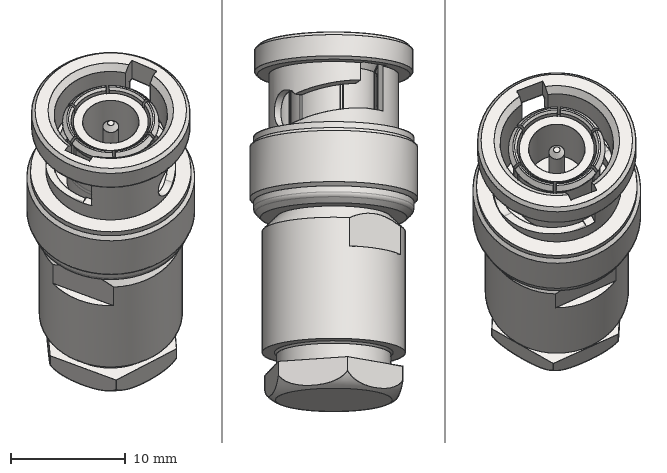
import cadquery as cq
import math

TOTAL_HEIGHT = 31.35
NUT_TOP = 2.57
BODY_BOTTOM = 4.2
FLAT_BOTTOM = 12.45
CONE_BOTTOM = 14.95
GRIP_BOTTOM = 16.2
BORE_FLOOR = 22.1
GRIP_TOP = 23.3
CONTACT_BASE_TOP = 24.1
HEAD_BOTTOM = 28.9

NUT_ACROSS_FLATS = 11.05
NUT_CORNER_RADIUS = 6.35
NUT_BOTTOM_RADIUS = 5.08
NUT_ROUND_HEIGHT = 1.32
NUT_ROUND_MIDDLE = (5.83, 0.5)
NUT_NECK_RADIUS = 5.0
NECK_FLARE = 0.2

BODY_RADIUS = 6.25
WRENCH_FLAT_SPACING = 11.0

GRIP_RADIUS = 7.3
GRIP_LAND_RADIUS = 7.0
GRIP_CHAMFER = GRIP_RADIUS - GRIP_LAND_RADIUS
GRIP_TOP_LAND = 0.53
GRIP_BODY_BOTTOM = 17.9
GRIP_EDGE_TOP = 17.05
GRIP_EDGE_ROUND = 0.55
GRIP_EDGE_ANGLE = math.radians(45)

NECK_RADIUS = 5.65
HEAD_RADIUS = 6.9
HEAD_TOP_CHAMFER = 0.3
HEAD_BOTTOM_CHAMFER = 0.25
BORE_RADIUS = 4.92
BORE_CHAMFER = 0.53

KEYWAY_WIDTH = 2.45
KEYWAY_REACH = 5.9
KEYWAY_TURN = -3.8
KEYWAY_BOTTOM = 24.92
DETENT_RADIUS = 1.65
DETENT_Z = 25.1
RAMP_ANGLE = 15.0
RAMP_HEIGHT = 2.48

CONTACT_BASE_RADIUS = 3.82
FINGER_BOTTOM = 24.4
FINGER_OUTER = 3.75
FINGER_INNER = 3.45
FINGER_TOP = 30.22
BULGE_RADIUS = 4.2
BULGE_Z = 29.78
BULGE_BOTTOM = 28.85
TIP_OUTER = 3.82
TIP_INNER = 3.67
FINGER_SLOT_WIDTH = 0.25
FINGER_SLOT_COUNT = 6
INSULATOR_RADIUS = 3.25
INSULATOR_BORE = 2.45
INSULATOR_TOP = 29.85
PIN_RADIUS = 0.7
PIN_TIP_RADIUS = 0.28
PIN_TIP_HEIGHT = 0.47
PIN_TOP = 29.7


def turned(points):
    """Revolve a closed (radius, height) outline about Z."""
    return cq.Workplane("XZ").polyline(points).close().revolve(360, (0, 0), (0, 1))


def tube(outer, inner, bottom, top):
    return cq.Workplane("XY").workplane(offset=bottom).circle(outer).circle(inner).extrude(top - bottom)


def make_nut():
    corner_diameter = NUT_ACROSS_FLATS / math.cos(math.pi / 6)
    hexagon = cq.Workplane("XY").polygon(6, corner_diameter).extrude(NUT_TOP)
    envelope = (
        cq.Workplane("XZ")
        .lineTo(NUT_BOTTOM_RADIUS, 0)
        .threePointArc(NUT_ROUND_MIDDLE, (NUT_CORNER_RADIUS, NUT_ROUND_HEIGHT))
        .lineTo(NUT_CORNER_RADIUS, NUT_TOP)
        .lineTo(0, NUT_TOP)
        .close()
        .revolve(360, (0, 0), (0, 1))
    )
    return hexagon.intersect(envelope)


def make_body():
    cone_top_radius = BODY_RADIUS - (GRIP_BOTTOM - CONE_BOTTOM)
    body = turned([
        (0, NUT_TOP),
        (NUT_NECK_RADIUS, NUT_TOP),
        (NUT_NECK_RADIUS, BODY_BOTTOM - NECK_FLARE),
        (NUT_NECK_RADIUS + NECK_FLARE, BODY_BOTTOM),
        (BODY_RADIUS, BODY_BOTTOM),
        (BODY_RADIUS, CONE_BOTTOM),
        (cone_top_radius, GRIP_BOTTOM),
        (0, GRIP_BOTTOM),
    ])
    flat_height = GRIP_BOTTOM - FLAT_BOTTOM
    beyond = 2 * BODY_RADIUS
    for side in (-1, 1):
        cutter = cq.Workplane("XY").box(beyond, beyond, flat_height, centered=(True, True, False))
        flat_offset = side * (WRENCH_FLAT_SPACING / 2 + BODY_RADIUS)
        body = body.cut(cutter.translate((0, flat_offset, FLAT_BOTTOM)))
    return body


def make_sleeve():
    land_bottom = GRIP_TOP - GRIP_TOP_LAND

    def edge_point(angle):
        inset = GRIP_EDGE_ROUND * (1 - math.cos(angle))
        drop = GRIP_EDGE_ROUND * math.sin(angle)
        return (GRIP_LAND_RADIUS - inset, GRIP_EDGE_TOP - drop)

    blend_radius, blend_z = edge_point(GRIP_EDGE_ANGLE)
    grip_bottom_radius = blend_radius - (blend_z - GRIP_BOTTOM) * math.tan(GRIP_EDGE_ANGLE)

    return (
        cq.Workplane("XZ")
        .moveTo(BORE_RADIUS, GRIP_BOTTOM)
        .lineTo(grip_bottom_radius, GRIP_BOTTOM)
        .lineTo(blend_radius, blend_z)
        .threePointArc(edge_point(GRIP_EDGE_ANGLE / 2), (GRIP_LAND_RADIUS, GRIP_EDGE_TOP))
        .lineTo(GRIP_LAND_RADIUS, GRIP_BODY_BOTTOM - GRIP_CHAMFER)
        .lineTo(GRIP_RADIUS, GRIP_BODY_BOTTOM)
        .lineTo(GRIP_RADIUS, land_bottom - GRIP_CHAMFER)
        .lineTo(GRIP_LAND_RADIUS, land_bottom)
        .lineTo(GRIP_LAND_RADIUS, GRIP_TOP)
        .lineTo(NECK_RADIUS, GRIP_TOP)
        .lineTo(NECK_RADIUS, HEAD_BOTTOM)
        .lineTo(HEAD_RADIUS - HEAD_BOTTOM_CHAMFER, HEAD_BOTTOM)
        .lineTo(HEAD_RADIUS, HEAD_BOTTOM + HEAD_BOTTOM_CHAMFER)
        .lineTo(HEAD_RADIUS, TOTAL_HEIGHT - HEAD_TOP_CHAMFER)
        .lineTo(HEAD_RADIUS - HEAD_TOP_CHAMFER, TOTAL_HEIGHT)
        .lineTo(BORE_RADIUS + BORE_CHAMFER, TOTAL_HEIGHT)
        .lineTo(BORE_RADIUS, TOTAL_HEIGHT - BORE_CHAMFER)
        .close()
        .revolve(360, (0, 0), (0, 1))
    )


def make_bayonet_track():
    """Cutter for one track: keyway on the -Y side, ramp, and detent hole on the -X side."""
    keyway = (
        cq.Workplane("XY")
        .box(KEYWAY_WIDTH, KEYWAY_REACH, TOTAL_HEIGHT - KEYWAY_BOTTOM, centered=(True, False, False))
        .translate((0, -KEYWAY_REACH, KEYWAY_BOTTOM))
        .rotate((0, 0, 0), (0, 0, 1), KEYWAY_TURN)
    )
    detent_bottom = DETENT_Z - DETENT_RADIUS
    rise = KEYWAY_REACH * math.tan(math.radians(RAMP_ANGLE))
    ramp = (
        cq.Workplane("YZ")
        .moveTo(0, detent_bottom)
        .lineTo(-KEYWAY_REACH, detent_bottom + rise)
        .lineTo(-KEYWAY_REACH, detent_bottom + rise + RAMP_HEIGHT)
        .lineTo(0, detent_bottom + RAMP_HEIGHT)
        .close()
        .extrude(-KEYWAY_REACH)
    )
    detent = cq.Workplane("YZ").center(0, DETENT_Z).circle(DETENT_RADIUS).extrude(-KEYWAY_REACH)
    return keyway.union(ramp).union(detent)


def make_spring_contact():
    contact = turned([
        (0, BORE_FLOOR),
        (CONTACT_BASE_RADIUS, BORE_FLOOR),
        (CONTACT_BASE_RADIUS, CONTACT_BASE_TOP),
        (FINGER_OUTER, FINGER_BOTTOM),
        (FINGER_OUTER, BULGE_BOTTOM),
        (BULGE_RADIUS, BULGE_Z),
        (TIP_OUTER, FINGER_TOP),
        (TIP_INNER, FINGER_TOP),
        (FINGER_INNER, FINGER_TOP - (TIP_INNER - FINGER_INNER)),
        (FINGER_INNER, CONTACT_BASE_TOP),
        (0, CONTACT_BASE_TOP),
    ])
    finger_height = FINGER_TOP - FINGER_BOTTOM
    for index in range(FINGER_SLOT_COUNT):
        slot = (
            cq.Workplane("XY")
            .box(BULGE_RADIUS, FINGER_SLOT_WIDTH, finger_height, centered=(False, True, False))
            .translate((0, 0, FINGER_BOTTOM))
            .rotate((0, 0, 0), (0, 0, 1), index * 360 / FINGER_SLOT_COUNT)
        )
        contact = contact.cut(slot)
    return contact


def make_pin():
    return turned([
        (0, CONTACT_BASE_TOP),
        (PIN_RADIUS, CONTACT_BASE_TOP),
        (PIN_RADIUS, PIN_TOP - PIN_TIP_HEIGHT),
        (PIN_TIP_RADIUS, PIN_TOP),
        (0, PIN_TOP),
    ])


sleeve = make_sleeve()
for turn in (0, 180):
    sleeve = sleeve.cut(make_bayonet_track().rotate((0, 0, 0), (0, 0, 1), turn))

core = cq.Workplane("XY").workplane(offset=GRIP_BOTTOM).circle(BORE_RADIUS).extrude(BORE_FLOOR - GRIP_BOTTOM)
insulator = tube(INSULATOR_RADIUS, INSULATOR_BORE, CONTACT_BASE_TOP, INSULATOR_TOP)

result = (
    make_nut()
    .union(make_body())
    .union(core)
    .union(sleeve)
    .union(make_spring_contact())
    .union(insulator)
    .union(make_pin())
)